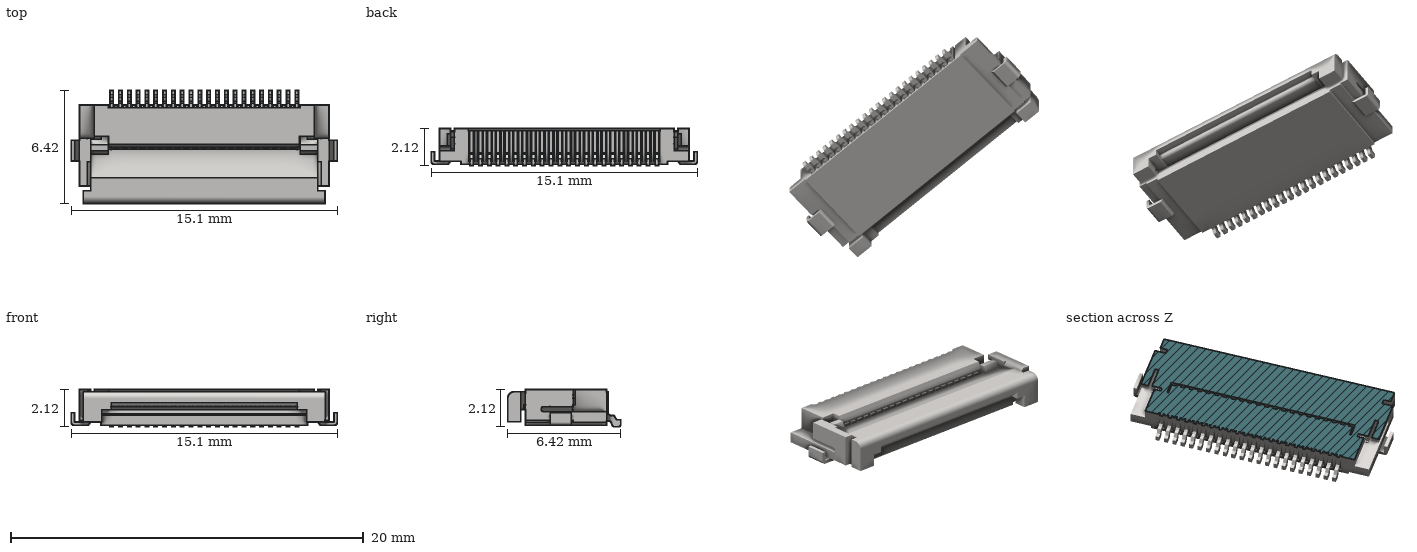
import cadquery as cq


PIN_COUNT = 22
PITCH = 0.5
PIN_WIDTH = 0.2
PIN_REACH = 0.81
PIN_TOP = 1.99
PIN_COLUMN_REACH = 0.09

HOUSING_TOP = 2.12
BASE_BOTTOM = 0.08
SIDE_BOTTOM = 0.25
BASE_HALF = 5.86
HOUSING_HALF = 7.08
WALL_INNER = 6.44
REAR_BLOCK_HALF = 6.23
HOUSING_FRONT = -4.61
WALL_REAR = -1.9
LEDGE_TOP = 0.86

REAR_BLOCK_FRONT = -2.24
REAR_BLOCK_TOE = -2.4
TOE_HEIGHT = 1.74

SLIT_HEIGHT = 0.28
SLIT_END = -3.71

EDGE_CHAMFER_WIDTH = 0.19
EDGE_CHAMFER_DROP = 0.22
EDGE_CHAMFER_REAR = -3.23

RELIEF_INNER = 6.6
RELIEF_TOP = 0.36
RECESS_OUTER = 6.63
RECESS_TOP = 1.81

COMB_HALF = 5.43
COMB_STEP_DEPTH = 0.18
COMB_SLOT_DEPTH = 0.1
COMB_SLOT_WIDTH = 0.34

POCKET_INNER = 5.4
POCKET_REAR = -1.78
POCKET_FLOOR = 1.26

ACTUATOR_TOP = 2.0
ACTUATOR_FRONT = -5.61
ACTUATOR_REAR = -2.53
ACTUATOR_REAR_TOP = 1.47
SLOPE_FRONT = -4.14
NOSE_RADIUS = 0.39
WING_HALF = 6.86
WING_REAR = -4.86
WING_BOTTOM = 0.28
PLATE_BOTTOM = 0.97
LEG_INNER = 5.81
CABLE_HALF = 5.28
CABLE_MOUTH_TOP = 1.37
CABLE_SLOT_TOP = 1.14
CABLE_LIP_Y = -5.2
CABLE_SLOT_END = -1.9

TAB_OUTER = 7.55
TAB_INNER = 6.42
TAB_THICKNESS = 0.2
TAB_TOP = 0.81
TAB_REAR = -2.0
TAB_FRONT = -3.2
TAB_TIP_CHAMFER = 0.17
TAB_BEND_RADIUS = 0.19

HINGE_INNER = 5.45
HINGE_TOP = 1.93


def box(x0, x1, y0, y1, z0, z1):
    """Axis-aligned block between pairs of opposite corners, given in any order."""
    size = (abs(x1 - x0), abs(y1 - y0), abs(z1 - z0))
    centre = ((x0 + x1) / 2, (y0 + y1) / 2, (z0 + z1) / 2)
    return cq.Workplane("XY").box(*size).translate(centre)


def side_sketch(x_start):
    """Workplane whose local axes are Y and Z, extruding toward +X from x_start."""
    return cq.Workplane("YZ", origin=(x_start, 0, 0))


def both_sides(shape):
    """The shape together with its mirror image across X = 0."""
    return shape.union(shape.mirror("YZ"))


def pin_positions():
    first = -(PIN_COUNT - 1) * PITCH / 2
    return [first + i * PITCH for i in range(PIN_COUNT)]


def make_base():
    front_edge = 0.65
    bevel_top = 0.73
    bevel_depth = 0.08
    lead_in_depth = 0.04
    bevel_y = HOUSING_FRONT + bevel_depth
    centre = (
        side_sketch(-BASE_HALF)
        .moveTo(0, BASE_BOTTOM)
        .lineTo(HOUSING_FRONT, BASE_BOTTOM)
        .lineTo(HOUSING_FRONT, front_edge)
        .lineTo(bevel_y, bevel_top)
        .lineTo(bevel_y + lead_in_depth, PLATE_BOTTOM)
        .lineTo(0, PLATE_BOTTOM)
        .close()
        .extrude(2 * BASE_HALF)
    )
    shelf = box(BASE_HALF, WALL_INNER, 0, HOUSING_FRONT, SIDE_BOTTOM, LEDGE_TOP)
    shelf = shelf.union(box(BASE_HALF, WALL_INNER, WALL_REAR, HOUSING_FRONT, LEDGE_TOP, PLATE_BOTTOM))
    return centre.union(both_sides(shelf))


def make_rear_block():
    block = (
        side_sketch(-REAR_BLOCK_HALF)
        .moveTo(0, SIDE_BOTTOM)
        .lineTo(0, HOUSING_TOP)
        .lineTo(REAR_BLOCK_FRONT, HOUSING_TOP)
        .lineTo(REAR_BLOCK_TOE, TOE_HEIGHT)
        .lineTo(REAR_BLOCK_TOE, SIDE_BOTTOM)
        .close()
        .extrude(2 * REAR_BLOCK_HALF)
    )
    pocket = box(
        POCKET_INNER, REAR_BLOCK_HALF, POCKET_REAR, REAR_BLOCK_TOE, POCKET_FLOOR, HOUSING_TOP
    )
    return block.cut(both_sides(pocket))


def make_side_wall():
    width = HOUSING_HALF - WALL_INNER
    wall = box(WALL_INNER, HOUSING_HALF, WALL_REAR, HOUSING_FRONT, SIDE_BOTTOM, HOUSING_TOP)
    ledge = box(WALL_INNER, HOUSING_HALF, 0, WALL_REAR, SIDE_BOTTOM, LEDGE_TOP)

    radius = SLIT_HEIGHT / 2
    slit_top = LEDGE_TOP + SLIT_HEIGHT
    slit = (
        side_sketch(WALL_INNER)
        .moveTo(WALL_REAR, LEDGE_TOP)
        .lineTo(SLIT_END + radius, LEDGE_TOP)
        .threePointArc((SLIT_END, LEDGE_TOP + radius), (SLIT_END + radius, slit_top))
        .lineTo(WALL_REAR, slit_top)
        .close()
        .extrude(width)
    )
    edge_chamfer = (
        cq.Workplane("XZ", origin=(0, EDGE_CHAMFER_REAR, 0))
        .moveTo(WALL_INNER, HOUSING_TOP)
        .lineTo(WALL_INNER + EDGE_CHAMFER_WIDTH, HOUSING_TOP)
        .lineTo(WALL_INNER, HOUSING_TOP - EDGE_CHAMFER_DROP)
        .close()
        .extrude(EDGE_CHAMFER_REAR - HOUSING_FRONT)
    )
    relief = box(
        RELIEF_INNER, HOUSING_HALF, WALL_REAR, HOUSING_FRONT, SIDE_BOTTOM, RELIEF_TOP
    )
    hinge_recess = box(
        WALL_INNER, RECESS_OUTER, WALL_REAR, EDGE_CHAMFER_REAR, slit_top, RECESS_TOP
    )
    wall = wall.union(ledge).cut(slit).cut(edge_chamfer)
    return wall.cut(relief).cut(hinge_recess)


def cut_comb(body):
    """Step the rear top edge down and open a slot around each contact."""
    body = body.cut(box(-COMB_HALF, COMB_HALF, 0, -COMB_STEP_DEPTH, PIN_TOP, HOUSING_TOP))
    for x in pin_positions():
        half = COMB_SLOT_WIDTH / 2
        body = body.cut(box(x - half, x + half, 0, -COMB_SLOT_DEPTH, SIDE_BOTTOM, PIN_TOP))
    return body


def make_ribs():
    """Ribs between the contacts, standing in the gap between the rear block and the actuator."""
    rib_top = 1.62
    rib_front = -2.5
    rib_width = PITCH - PIN_WIDTH
    ribs = box(-COMB_HALF, COMB_HALF, REAR_BLOCK_TOE, ACTUATOR_REAR, PLATE_BOTTOM, CABLE_SLOT_TOP)
    for x in pin_positions()[:-1]:
        left = x + PIN_WIDTH / 2
        ribs = ribs.union(box(left, left + rib_width, REAR_BLOCK_TOE, rib_front, PLATE_BOTTOM, rib_top))
    return ribs


def make_actuator():
    plate = (
        side_sketch(-WALL_INNER)
        .moveTo(ACTUATOR_REAR, PLATE_BOTTOM)
        .lineTo(ACTUATOR_REAR, ACTUATOR_REAR_TOP)
        .lineTo(SLOPE_FRONT, ACTUATOR_TOP)
        .lineTo(WING_REAR, ACTUATOR_TOP)
        .lineTo(WING_REAR, PLATE_BOTTOM)
        .close()
        .extrude(2 * WALL_INNER)
    )
    front_bar = box(-WING_HALF, WING_HALF, WING_REAR, ACTUATOR_FRONT, WING_BOTTOM, ACTUATOR_TOP)
    front_bar = front_bar.edges("|X and >Z and <Y").fillet(NOSE_RADIUS)
    front_bar = front_bar.cut(
        box(-LEG_INNER, LEG_INNER, WING_REAR, ACTUATOR_FRONT, WING_BOTTOM, PLATE_BOTTOM)
    )
    return plate.union(front_bar)


def make_cable_slot():
    """Cable opening: a high mouth, then a rounded lip leading into a thin slot."""
    lip_radius = CABLE_MOUTH_TOP - CABLE_SLOT_TOP
    return (
        side_sketch(-CABLE_HALF)
        .moveTo(ACTUATOR_FRONT, PLATE_BOTTOM)
        .lineTo(ACTUATOR_FRONT, CABLE_MOUTH_TOP)
        .lineTo(CABLE_LIP_Y, CABLE_MOUTH_TOP)
        .radiusArc((CABLE_LIP_Y + lip_radius, CABLE_SLOT_TOP), -lip_radius)
        .lineTo(CABLE_SLOT_END, CABLE_SLOT_TOP)
        .lineTo(CABLE_SLOT_END, PLATE_BOTTOM)
        .close()
        .extrude(2 * CABLE_HALF)
    )


def make_hinge_block():
    """Hinge lug: a tongue reaching into the pocket, curving up to a flat crown."""
    tongue_top = 1.63
    tongue_outer = 5.85
    tongue_front = -1.95
    crown_rear = -2.27
    crown_front = -2.6
    toe = -2.8
    toe_top = 1.55
    lug = (
        side_sketch(HINGE_INNER)
        .moveTo(POCKET_REAR, POCKET_FLOOR)
        .lineTo(POCKET_REAR, tongue_top)
        .lineTo(tongue_front, tongue_top)
        .tangentArcPoint((crown_rear, HINGE_TOP), relative=False)
        .lineTo(crown_front, HINGE_TOP)
        .lineTo(toe, toe_top)
        .lineTo(toe, PLATE_BOTTOM)
        .lineTo(tongue_front, PLATE_BOTTOM)
        .lineTo(tongue_front, POCKET_FLOOR)
        .close()
        .extrude(WALL_INNER - HINGE_INNER)
    )
    tongue_trim = box(
        tongue_outer, WALL_INNER, POCKET_REAR, tongue_front, POCKET_FLOOR, HOUSING_TOP
    )
    return lug.cut(tongue_trim)


def make_plate_notch():
    """Shallow notch in the side of the actuator plate, just ahead of the side wall."""
    notch_depth = 0.2
    notch_front = -4.7
    notch_rear = -4.4
    notch_top = 1.26
    return box(
        WALL_INNER - notch_depth, WALL_INNER, notch_front, notch_rear, PLATE_BOTTOM, notch_top
    )


def make_pin():
    """Contact: a column in the comb, a sloping shoulder and a foot reaching the board plane."""
    tail_top = 0.65
    tail_bottom = 0.32
    foot_top = 0.41
    column_foot = 0.74
    toe_radius = 0.14
    foot_start = 0.57
    shoulder_end = 0.42
    shoulder_start = 0.21
    bend_start = (0.18, tail_bottom)
    bend_end = (0.24, 0.27)
    heel_top = (0.33, 0.06)
    heel_y = 0.4
    left = -PIN_WIDTH / 2
    tail = (
        side_sketch(left)
        .moveTo(-COMB_STEP_DEPTH, tail_bottom)
        .lineTo(*bend_start)
        .lineTo(*bend_end)
        .lineTo(*heel_top)
        .lineTo(heel_y, 0)
        .lineTo(PIN_REACH - toe_radius, 0)
        .radiusArc((PIN_REACH, toe_radius), -toe_radius)
        .lineTo(PIN_REACH, foot_top)
        .lineTo(foot_start, foot_top)
        .lineTo(shoulder_end, tail_top)
        .lineTo(shoulder_start, tail_top)
        .lineTo(PIN_COLUMN_REACH, column_foot)
        .lineTo(-COMB_STEP_DEPTH, column_foot)
        .close()
        .extrude(PIN_WIDTH)
    )
    column = box(left, -left, PIN_COLUMN_REACH, -COMB_STEP_DEPTH, tail_bottom, PIN_TOP)
    return tail.union(column)


def make_solder_tab():
    """Bent tab: a flat plate under the side wall turned up outside it."""
    upright_inner = TAB_OUTER - TAB_THICKNESS
    plate_top = BASE_BOTTOM + TAB_THICKNESS
    return (
        cq.Workplane("XZ", origin=(0, TAB_REAR, 0))
        .moveTo(TAB_INNER, plate_top)
        .lineTo(TAB_INNER + TAB_TIP_CHAMFER, BASE_BOTTOM)
        .lineTo(TAB_OUTER - TAB_BEND_RADIUS, BASE_BOTTOM)
        .radiusArc((TAB_OUTER, BASE_BOTTOM + TAB_BEND_RADIUS), -TAB_BEND_RADIUS)
        .lineTo(TAB_OUTER, TAB_TOP)
        .lineTo(upright_inner, TAB_TOP)
        .lineTo(upright_inner, plate_top)
        .close()
        .extrude(TAB_REAR - TAB_FRONT)
    )


housing = make_base().union(make_rear_block()).union(both_sides(make_side_wall()))
housing = cut_comb(housing).union(make_ribs())
actuator = make_actuator().union(both_sides(make_hinge_block()))
actuator = actuator.cut(both_sides(make_plate_notch()))

result = housing.union(actuator).cut(make_cable_slot())
result = result.union(both_sides(make_solder_tab()))
pin = make_pin()
for pin_x in pin_positions():
    result = result.union(pin.translate((pin_x, 0, 0)))